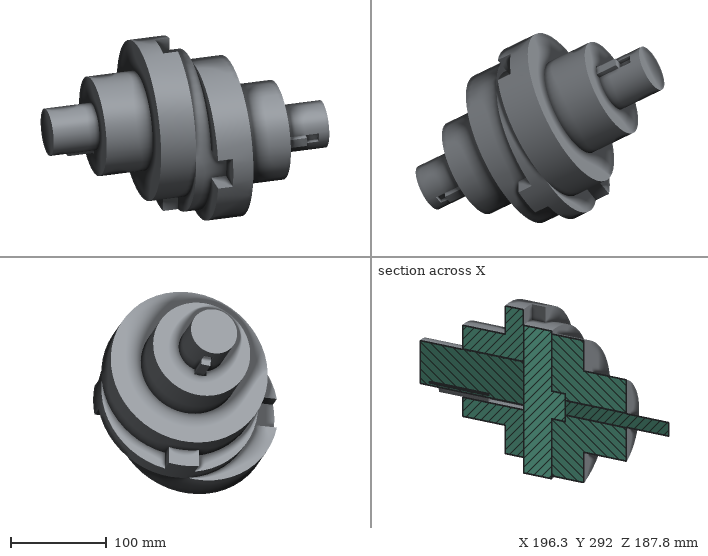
import cadquery as cq


shaft_diameter = 50.0
hub_diameter = 105.0
flange_diameter = 170.0

plate_thickness = 17.0
flange_thickness = 38.0
hub_length = 50.0
shaft_overhang = 49.5
hub_end = flange_thickness + hub_length

tongue_width = 32.5
tongue_height = 16.0

rear_offset_x = 26.3
front_offset_z = 17.8

key_width = 10.0
key_height = 10.0
key_protrusion = 5.0
key_length = 58.5
front_key_overhang = 28.0
rear_key_overhang = 24.0
keyway_overhang = 38.5
shaft_turn = 6.2
key_outer_radius = shaft_diameter / 2 + key_protrusion
key_inner_radius = key_outer_radius - key_height


def rod(diameter, start, end):
    """Cylinder on the Y axis between two Y positions."""
    return (
        cq.Workplane("XZ", origin=(0, start, 0))
        .circle(diameter / 2)
        .extrude(start - end)
    )


def key_bar(start, end):
    """Rectangular bar on the +X side of the shaft, shared by the keys and keyways."""
    return cq.Workplane("XY").box(
        key_height, end - start, key_width, centered=(False, False, True)
    ).translate((key_inner_radius, start, 0))


def tongue_bar():
    """Bar along X, long enough to cross the whole flange, standing on the Y = 0 plane."""
    return cq.Workplane("XY").box(
        flange_diameter, tongue_height, tongue_width, centered=(True, False, True)
    )


def make_hub():
    body = rod(flange_diameter, 0, flange_thickness)
    body = body.union(rod(hub_diameter, flange_thickness, hub_end))
    body = body.cut(rod(shaft_diameter, 0, hub_end))
    body = body.cut(tongue_bar())
    return body.cut(key_bar(0, hub_end))


def make_shaft(key_overhang):
    keyway_start = hub_end + key_overhang - key_length
    body = rod(shaft_diameter, tongue_height, hub_end + shaft_overhang)
    return body.cut(key_bar(keyway_start, hub_end + keyway_overhang))


def make_key(key_overhang):
    key_end = hub_end + key_overhang
    return key_bar(key_end - key_length, key_end)


def place_rear(body, turn=0):
    """Keep the body facing +Y with its key at +X, turned towards -Z by the given angle."""
    turned = body.rotate((0, 0, 0), (0, 1, 0), turn)
    return turned.translate((rear_offset_x, plate_thickness / 2, 0))


def place_front(body, turn=0):
    """Face the body towards -Y with its key at -Z, turned towards -X by the given angle."""
    faced = body.rotate((0, 0, 0), (0, 0, 1), 180)
    faced = faced.rotate((0, 0, 0), (0, 1, 0), turn - 90)
    return faced.translate((0, -plate_thickness / 2, front_offset_z))


def make_disc():
    """Round plate with a tongue along X at the rear and a tongue along Z at the front."""
    half_plate = plate_thickness / 2
    half_disc = half_plate + tongue_height
    rear_tongue = tongue_bar().translate((0, half_plate, 0))
    front_tongue = rear_tongue.rotate((0, 0, 0), (0, 0, 1), 180).rotate((0, 0, 0), (0, 1, 0), 90)
    tongues = rear_tongue.union(front_tongue)
    round_tongues = tongues.intersect(rod(flange_diameter, -half_disc, half_disc))
    return rod(flange_diameter, -half_plate, half_plate).union(round_tongues)


disc = make_disc()

rear_shaft = place_rear(make_shaft(rear_key_overhang), shaft_turn)
rear_key = place_rear(make_key(rear_key_overhang), shaft_turn)
rear_hub = place_rear(make_hub()).cut(rear_key)

front_shaft = place_front(make_shaft(front_key_overhang), shaft_turn)
front_key = place_front(make_key(front_key_overhang), shaft_turn)
front_hub = place_front(make_hub()).cut(front_key)

result = cq.Compound.makeCompound([
    disc.val(),
    rear_hub.val(),
    rear_shaft.val(),
    rear_key.val(),
    front_hub.val(),
    front_shaft.val(),
    front_key.val(),
])